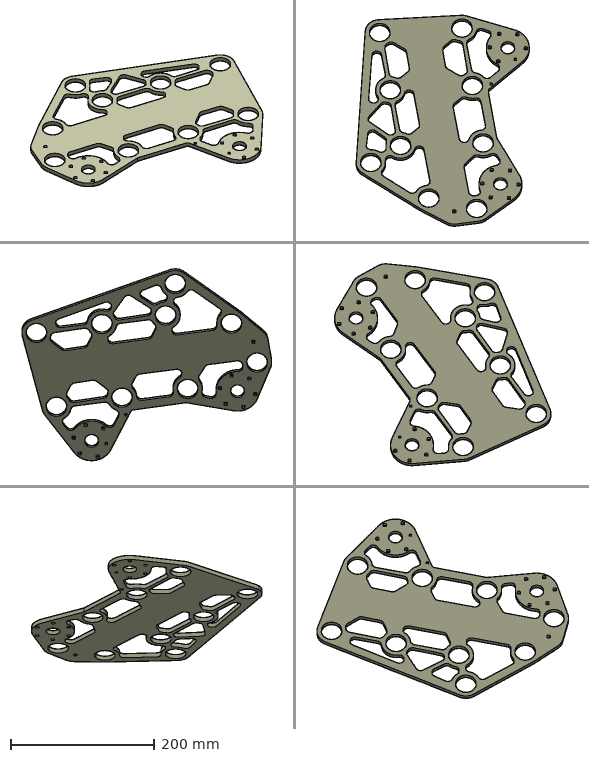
import cadquery as cq
import math

THICKNESS = 6.5
BEARING_RADIUS = 14.5
HUB_BORE_RADIUS = 9.5
SCREW_RADIUS = 2.5
PIN_RADIUS = 1.7
CORNER_RADIUS = 7.0
BEARING_RING = 20.5
HUB_RING = 30.0
BOLT_CIRCLE_RADIUS = 25.3
BOLT_ANGLES = [15, 75, 135, 195, 315]
LOWER_BOLT_ANGLE = 255
JOINT_TOLERANCE = 0.0005

TOP = (13.5, 150.5, BEARING_RING)
RIGHT = (102.0, 77.2, BEARING_RING)
UPPER = (-38.0, 74.0, BEARING_RING)
LEFT = (-137.0, 8.2, BEARING_RING)
EAST = (50.2, 0.7, BEARING_RING)
WEST = (-88.0, -0.5, BEARING_RING)
SOUTH = (-1.5, -76.2, BEARING_RING)
LOWER_LEFT = (-117.0, -88.5, BEARING_RING)
BOTTOM = (-79.3, -146.2, BEARING_RING)
BEARINGS = [TOP, RIGHT, UPPER, LEFT, EAST, WEST, SOUTH, LOWER_LEFT, BOTTOM]

RIGHT_HUB = (127.5, 10.5, HUB_RING)
LOWER_HUB = (-28.5, -140.5, HUB_RING)
HUBS = [RIGHT_HUB, LOWER_HUB]

CORNER_SCREW = (-105.2, -128.0, BEARING_RING)
PINS = [(122.5, -10.0), (71.0, -15.5)]

EDGE_BEND = (18.0, -83.7, 0)
NOTCH_RADIUS = 5.0
NOTCH = (64.2, RIGHT_HUB[1] - HUB_RING - NOTCH_RADIUS, -NOTCH_RADIUS)

HALF_TURN_CENTRE = ((UPPER[0] + RIGHT[0]) / 2, (UPPER[1] + RIGHT[1]) / 2)


def polar(centre, radius, angle):
    return (centre[0] + radius * math.cos(angle), centre[1] + radius * math.sin(angle))


def corner(x, y):
    """Rounded window corner centred at (x, y)."""
    return (x, y, CORNER_RADIUS)


def ring(hole):
    """Edge of a window that follows the ring around a hole."""
    x, y, ring_radius = hole
    return (x, y, -ring_radius)


def corner_on(hole, degrees):
    """Window corner that touches a hole's ring at the given direction from the hole."""
    return corner(*polar(hole, hole[2] + CORNER_RADIUS, math.radians(degrees)))


def corner_between(first, second):
    """Window corner touching two rings, on the right when going from first to second."""
    span = math.dist(first[:2], second[:2])
    heading = math.atan2(second[1] - first[1], second[0] - first[0])
    reach = first[2] + CORNER_RADIUS
    other_reach = second[2] + CORNER_RADIUS
    offset = math.acos((reach**2 + span**2 - other_reach**2) / (2 * reach * span))
    return corner(*polar(first, reach, heading - offset))


def tangent_angle(start, end):
    """Direction of the outward normal of the straight that joins two arcs."""
    span = math.dist(start[:2], end[:2])
    heading = math.atan2(end[1] - start[1], end[0] - start[0])
    ratio = (start[2] - end[2]) / span
    return heading - math.acos(max(-1.0, min(1.0, ratio)))


def plate_from(arcs):
    """Solid of plate thickness bounded by the arcs and their tangent straights."""
    count = len(arcs)
    leaving = [tangent_angle(arcs[i], arcs[(i + 1) % count]) for i in range(count)]
    first = polar(arcs[-1], arcs[-1][2], leaving[-1])
    sketch = cq.Workplane("XY").moveTo(*first)
    position = first
    for i, arc in enumerate(arcs):
        radius = arc[2]
        arriving = leaving[i - 1]
        arc_start = polar(arc, radius, arriving)
        if math.dist(position, arc_start) > JOINT_TOLERANCE:
            sketch = sketch.lineTo(*arc_start)
        position = arc_start
        if radius != 0:
            turn = math.copysign(1, radius)
            sweep = turn * ((turn * (leaving[i] - arriving)) % (2 * math.pi))
            middle = polar(arc, radius, arriving + sweep / 2)
            position = polar(arc, radius, leaving[i])
            sketch = sketch.threePointArc(middle, position)
    return sketch.close().extrude(THICKNESS)


def holes(centres, radius):
    points = [(centre[0], centre[1]) for centre in centres]
    return cq.Workplane("XY").pushPoints(points).circle(radius).extrude(THICKNESS)


def bolt_holes(hub, angles):
    return holes([polar(hub, BOLT_CIRCLE_RADIUS, math.radians(a)) for a in angles], SCREW_RADIUS)


OUTLINE = [
    LOWER_HUB, EDGE_BEND, NOTCH, RIGHT_HUB, RIGHT, TOP, LEFT, LOWER_LEFT, CORNER_SCREW, BOTTOM,
]

SLANTED_SLOT = [
    corner_on(UPPER, 168.3), ring(UPPER), corner_on(UPPER, 76.4), corner(-14.5, 126.8),
]
TOP_WINDOW = [
    corner_on(UPPER, 23.6), corner(-0.5, 85.0), corner(14.5, 106.3),
    corner_on(TOP, -97.3), ring(TOP), corner_on(TOP, -102.5),
    corner_on(UPPER, 35.7), ring(UPPER),
]
UPPER_TRIANGLE = [
    corner(-82.5, 26.3), corner_on(UPPER, -144.4), ring(UPPER),
    corner_on(UPPER, -149.2), corner(-87.0, 56.7),
]
RIGHT_HUB_WINDOW = [
    corner_on(EAST, -2.1), corner_on(RIGHT_HUB, -162.8), ring(RIGHT_HUB),
    corner_on(RIGHT_HUB, 102.0), corner_on(RIGHT, -59.0), ring(RIGHT),
    corner_on(RIGHT, -103.8), corner_on(EAST, 34.5), ring(EAST),
]
MIDDLE_WINDOW = [
    corner_on(WEST, 22.0), corner(-51.2, 10.0), corner_on(UPPER, -59.0), ring(UPPER),
    corner_on(UPPER, -103.5), corner_on(WEST, 34.9), ring(WEST),
]
SMALL_LEFT_WINDOW = [
    corner_between(WEST, LEFT), ring(WEST), corner_on(WEST, 120.6), corner(-104.5, 39.3),
    corner_on(LEFT, 45.8), ring(LEFT),
]
LARGE_LEFT_WINDOW = [
    corner_on(LOWER_LEFT, 104.4), ring(LOWER_LEFT), corner_on(LOWER_LEFT, 57.4),
    corner_on(WEST, -60.2), ring(WEST), corner_between(LEFT, WEST), ring(LEFT),
    corner_on(LEFT, -80.2),
]
SOUTH_WINDOW = [
    corner_on(SOUTH, 121.0), ring(SOUTH), corner_on(SOUTH, 53.7), corner_on(EAST, -121.6),
    ring(EAST), corner_on(EAST, -157.2), corner(13.0, -10.0),
]
LOWER_HUB_WINDOW = [
    corner_between(LOWER_HUB, BOTTOM), ring(LOWER_HUB), corner_on(LOWER_HUB, 58.2),
    corner_on(SOUTH, -103.1), ring(SOUTH), corner_on(SOUTH, -151.9), corner(-41.5, -90.2),
    corner_on(BOTTOM, 55.5), ring(BOTTOM),
]
WINDOWS = [
    SLANTED_SLOT, TOP_WINDOW, UPPER_TRIANGLE, RIGHT_HUB_WINDOW, MIDDLE_WINDOW,
    SMALL_LEFT_WINDOW, LARGE_LEFT_WINDOW, SOUTH_WINDOW, LOWER_HUB_WINDOW,
]


def half_turn(arcs):
    """The same arcs turned by 180 degrees about the half-turn centre."""
    centre_x, centre_y = HALF_TURN_CENTRE
    return [(2 * centre_x - x, 2 * centre_y - y, radius) for x, y, radius in arcs]


result = plate_from(OUTLINE)

for window in WINDOWS + [half_turn(TOP_WINDOW)]:
    result = result.cut(plate_from(window))

result = result.cut(holes(BEARINGS, BEARING_RADIUS))
result = result.cut(holes(HUBS, HUB_BORE_RADIUS))
result = result.cut(bolt_holes(RIGHT_HUB, BOLT_ANGLES))
result = result.cut(bolt_holes(LOWER_HUB, BOLT_ANGLES + [LOWER_BOLT_ANGLE]))
result = result.cut(holes([CORNER_SCREW], SCREW_RADIUS))
result = result.cut(holes(PINS, PIN_RADIUS))